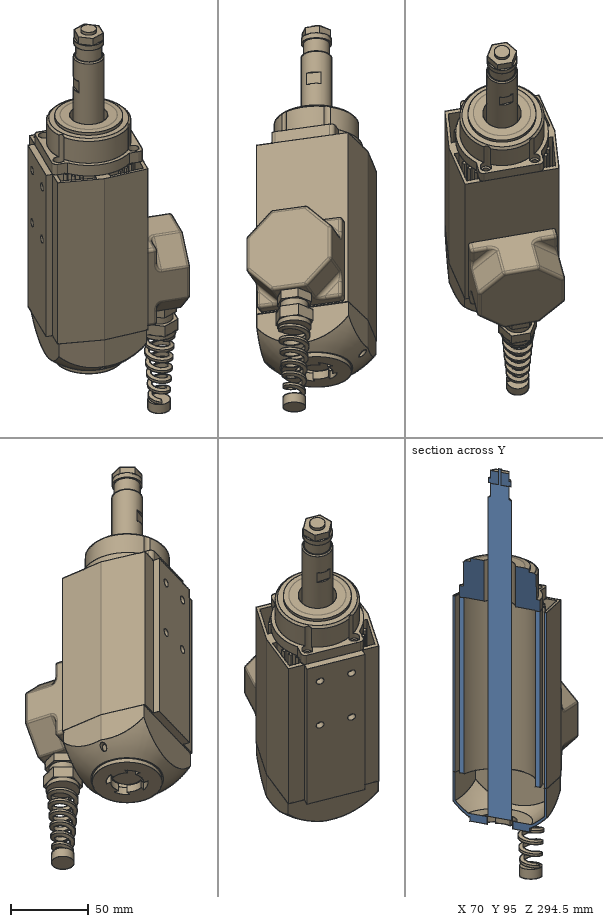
import cadquery as cq
import math


CAP_RIM_BOTTOM = 47.5
CAP_BOTTOM = 50.5
HOUSING_BOTTOM = 79.5
HOUSING_TOP = 201.0
FLANGE_TOP = 209.0
COLLAR_TOP = 227.0
COVER_TOP = 229.5
SHAFT_SHOULDER = 274.5
NUT_BOTTOM = 283.5
NUT_HEX_BOTTOM = 287.0
NUT_TOP = 292.5
SHAFT_TOP = 294.5

SIDE_REACH = 35.0
CORNER_REACH = 31.2
HOUSING_HALF_DEPTH = 30.5
SIDE_WALL = 1.8
FACE_WALL = 2.7
PAD_HALF_WIDTH = 20.0
PAD_FACE = 35.0
RIB_WIDTH = 9.5
TUBE_RADIUS = 30.0
TUBE_BORE_RADIUS = 26.5
FIN_RADIUS = 31.8
FIN_WIDTH = 2.5
FIN_ANGLES = (25.5, 35.5, 45.5)
PAD_HOLE_RADIUS = 2.7
PAD_HOLE_DEPTH = 4.5
PAD_HOLE_TIP = 1.5
PAD_HOLE_X = 11.0
PAD_HOLE_LEVELS = (147.8, 187.3)

CAP_HALF_DEPTH = 29.7
DOME_START_RADIUS = 23.5
DOME_MID = (35.0, 59.5)
DOME_END = (43.3, 70.0)
DOME_WALL = 2.7
CAP_RIM_RADIUS = 22.7
VENT_RADIUS = 13.5
VENT_TAB_RADIUS = 10.5
VENT_TAB_WIDTH = 10.5
CAP_SIDE_HOLE_RADIUS = 2.0
CAP_SIDE_HOLE_LEVEL = 56.2

FLANGE_RADIUS = 30.0
LUG_HALF_WIDTH = 21.5
LUG_CORNER = 3.0
COLLAR_RADIUS = 27.5
COLLAR_CHAMFER = 1.5
LIP_RADIUS = 22.0
LIP_TOP_RADIUS = 18.5
LIP_BEVEL = 0.3
COVER_BORE_RADIUS = 12.5
SCREW_X = 16.2
SCREW_Y = 25.3
SCREW_HEAD_RADIUS = 3.5
SCREW_HEAD_DEPTH = 4.0
SCREW_HOLE_RADIUS = 2.0

SHAFT_RADIUS = 10.0
SHAFT_CHAMFER = 1.0
NECK_RADIUS = 8.5
STUD_RADIUS = 5.0
FLAT_DISTANCE = 8.8
FLAT_BOTTOM = 250.5
FLAT_TOP = 259.0
FLAT_TURN = 6
NUT_RADIUS = 9.7

HEX_FLAT_RATIO = math.cos(math.radians(30))

BOX_HALF = 29.0
BOX_CENTER_Z = 109.3
BOX_BACK = 60.0
BOX_BASE_BACK = 37.7
BOX_CORNER_CUT = 17.0
BOX_INNER_FILLET = 3.0
BOX_EDGE_FILLET = 2.0

GLAND_Y = 47.7
GLAND_HEX_APOTHEM = 10.0
GLAND_HEX_BOTTOM = 74.2
GLAND_NECK_RADIUS = 9.0
CLAMP_TOP = 68.5
CLAMP_HEX_BOTTOM = 60.7
CLAMP_BOTTOM = 57.5
CLAMP_APOTHEM = 11.0
END_RING_RADIUS = 7.5
END_RING_TOP = 6.8
COIL_TURNS = 6
COIL_PITCH = 8.2
COIL_START = 7.5
COIL_LOWER_RADIUS = 5.5
COIL_UPPER_RADIUS = 9.0
STRAND_INNER_HEIGHT = 3.5
STRAND_OUTER_HEIGHT = 1.8
STRAND_WIDTH = 2.7


def disc(radius, bottom, top, x=0, y=0):
    """Upright cylinder between two levels."""
    return cq.Workplane("XY", origin=(x, y, bottom)).circle(radius).extrude(top - bottom)


def hexagon(apothem, bottom, top, y=0):
    """Upright hexagonal prism with flats facing front and back."""
    diameter = 2 * apothem / HEX_FLAT_RATIO
    return cq.Workplane("XY", origin=(0, y, bottom)).polygon(6, diameter).extrude(top - bottom)


def block(x_range, y_range, z_range):
    """Box given by its limits along each axis."""
    size = [high - low for low, high in (x_range, y_range, z_range)]
    corner = (x_range[0], y_range[0], z_range[0])
    return cq.Workplane("XY").box(*size, centered=False).translate(corner)


def ridged_prism(side, corner, half_depth, bottom, top):
    """Prism with flat front and back and a ridge along each side."""
    outline = [
        (side, 0), (corner, half_depth), (-corner, half_depth),
        (-side, 0), (-corner, -half_depth), (corner, -half_depth),
    ]
    return cq.Workplane("XY", origin=(0, 0, bottom)).polyline(outline).close().extrude(top - bottom)


def cavity(half_depth, bottom, top):
    """Inside of a ridged tube whose outside has the given half depth."""
    return ridged_prism(
        SIDE_REACH - SIDE_WALL, CORNER_REACH - SIDE_WALL, half_depth - FACE_WALL, bottom, top
    )


def dome_space(floor, top):
    """Round space above the domed underside, with its floor at the given level."""
    lift = floor - CAP_BOTTOM
    return (
        cq.Workplane("XZ")
        .moveTo(0, floor)
        .lineTo(DOME_START_RADIUS, floor)
        .threePointArc((DOME_MID[0], DOME_MID[1] + lift), (DOME_END[0], DOME_END[1] + lift))
        .lineTo(DOME_END[0], top)
        .lineTo(0, top)
        .close()
        .revolve(360, (0, 0), (0, 1))
    )


def make_housing():
    z_range = (HOUSING_BOTTOM, HOUSING_TOP)
    shell = ridged_prism(SIDE_REACH, CORNER_REACH, HOUSING_HALF_DEPTH, *z_range)
    shell = shell.cut(cavity(HOUSING_HALF_DEPTH, *z_range).cut(inner_tube(z_range)))
    pad = block((-PAD_HALF_WIDTH, PAD_HALF_WIDTH), (-PAD_FACE, -HOUSING_HALF_DEPTH), z_range)
    body = shell.union(pad)
    for x in (-PAD_HOLE_X, PAD_HOLE_X):
        for z in PAD_HOLE_LEVELS:
            body = body.cut(pad_hole(x, z))
    return body


def inner_tube(z_range):
    """Round tube with ribs to the side ridges and short cooling fins."""
    body = disc(TUBE_RADIUS, *z_range)
    body = body.union(block((-SIDE_REACH, SIDE_REACH), (-RIB_WIDTH / 2, RIB_WIDTH / 2), z_range))
    fin = block((0, FIN_RADIUS), (-FIN_WIDTH / 2, FIN_WIDTH / 2), z_range)
    for angle in FIN_ANGLES:
        for turn in (angle, 180 - angle, 180 + angle, -angle):
            body = body.union(fin.rotate((0, 0, 0), (0, 0, 1), turn))
    return body.cut(disc(TUBE_BORE_RADIUS, *z_range))


def pad_hole(x, z):
    """Blind hole from the pad face, with a conical bottom."""
    inward = cq.Vector(0, 1, 0)
    drill = cq.Solid.makeCylinder(PAD_HOLE_RADIUS, PAD_HOLE_DEPTH, cq.Vector(x, -PAD_FACE, z), inward)
    tip_start = cq.Vector(x, PAD_HOLE_DEPTH - PAD_FACE, z)
    tip = cq.Solid.makeCone(PAD_HOLE_RADIUS, 0, PAD_HOLE_TIP, tip_start, inward)
    return cq.Workplane(drill).union(cq.Workplane(tip))


def make_tail_cap():
    floor_top = CAP_BOTTOM + DOME_WALL
    outside = ridged_prism(SIDE_REACH, CORNER_REACH, CAP_HALF_DEPTH, CAP_BOTTOM, HOUSING_BOTTOM)
    outside = outside.intersect(dome_space(CAP_BOTTOM, HOUSING_BOTTOM))
    inside = cavity(CAP_HALF_DEPTH, CAP_BOTTOM, HOUSING_BOTTOM)
    inside = inside.intersect(dome_space(floor_top, HOUSING_BOTTOM))
    rim = disc(CAP_RIM_RADIUS, CAP_RIM_BOTTOM, CAP_BOTTOM)
    side_hole = (
        cq.Workplane("YZ", origin=(0, 0, CAP_SIDE_HOLE_LEVEL))
        .circle(CAP_SIDE_HOLE_RADIUS)
        .extrude(SIDE_REACH, both=True)
    )
    return outside.union(rim).cut(inside).cut(side_hole).cut(tail_vent(floor_top))


def tail_vent(floor_top):
    """Round opening narrowed by four tabs that point at the axis."""
    opening = disc(VENT_RADIUS, CAP_RIM_BOTTOM, floor_top)
    along = (-VENT_RADIUS, VENT_RADIUS)
    across = (-VENT_TAB_WIDTH / 2, VENT_TAB_WIDTH / 2)
    z_range = (CAP_RIM_BOTTOM, floor_top)
    tabs = block(along, across, z_range).union(block(across, along, z_range))
    return opening.cut(tabs).union(disc(VENT_TAB_RADIUS, *z_range))


def make_cover():
    lugs = block(
        (-LUG_HALF_WIDTH, LUG_HALF_WIDTH),
        (-HOUSING_HALF_DEPTH, HOUSING_HALF_DEPTH),
        (HOUSING_TOP, FLANGE_TOP),
    ).edges("|Z").fillet(LUG_CORNER)
    collar = disc(COLLAR_RADIUS, FLANGE_TOP, COLLAR_TOP).faces(">Z").chamfer(COLLAR_CHAMFER)
    lip = (
        disc(LIP_RADIUS, COLLAR_TOP, COVER_TOP)
        .faces(">Z").edges()
        .chamfer(LIP_BEVEL, LIP_RADIUS - LIP_TOP_RADIUS)
    )
    body = disc(FLANGE_RADIUS, HOUSING_TOP, FLANGE_TOP).union(lugs).union(collar).union(lip)
    body = body.cut(disc(COVER_BORE_RADIUS, HOUSING_TOP, COVER_TOP))
    for x in (-SCREW_X, SCREW_X):
        for y in (-SCREW_Y, SCREW_Y):
            body = body.cut(disc(SCREW_HOLE_RADIUS, HOUSING_TOP, FLANGE_TOP, x, y))
            body = body.cut(disc(SCREW_HEAD_RADIUS, FLANGE_TOP - SCREW_HEAD_DEPTH, COLLAR_TOP, x, y))
    return body


def make_shaft():
    body = disc(SHAFT_RADIUS, CAP_BOTTOM + DOME_WALL, SHAFT_SHOULDER).faces(">Z").chamfer(SHAFT_CHAMFER)
    body = body.union(disc(NECK_RADIUS, SHAFT_SHOULDER, NUT_BOTTOM))
    body = body.union(disc(STUD_RADIUS, NUT_BOTTOM, SHAFT_TOP))
    for y_range in ((-SHAFT_RADIUS, -FLAT_DISTANCE), (FLAT_DISTANCE, SHAFT_RADIUS)):
        recess = block((-SHAFT_RADIUS, SHAFT_RADIUS), y_range, (FLAT_BOTTOM, FLAT_TOP))
        body = body.cut(recess.rotate((0, 0, 0), (0, 0, 1), FLAT_TURN))
    return body


def make_collet_nut():
    body = disc(NUT_RADIUS, NUT_BOTTOM, NUT_HEX_BOTTOM)
    body = body.union(hexagon(NUT_RADIUS * HEX_FLAT_RATIO, NUT_HEX_BOTTOM, NUT_TOP))
    return body.cut(disc(STUD_RADIUS, NUT_BOTTOM, NUT_TOP))


def make_terminal_box():
    y_range = (HOUSING_HALF_DEPTH, BOX_BACK)
    z_range = (BOX_CENTER_Z - BOX_HALF, BOX_CENTER_Z + BOX_HALF)
    body = block((-BOX_HALF, BOX_HALF), y_range, z_range)
    for x_sign in (-1, 1):
        for z_sign in (-1, 1):
            body = body.cut(corner_wedge(x_sign, z_sign))
    corner_middle = BOX_HALF - BOX_CORNER_CUT / 2
    for x_sign in (-1, 1):
        for z_sign in (-1, 1):
            point = (x_sign * corner_middle, BOX_BASE_BACK, BOX_CENTER_Z + z_sign * corner_middle)
            body = body.edges(cq.NearestToPointSelector(point)).fillet(BOX_INNER_FILLET)
    outer_edges = body.faces("<X or >X or <Z or >Z or >Y").edges("not <Y")
    return outer_edges.fillet(BOX_EDGE_FILLET)


def corner_wedge(x_sign, z_sign):
    """Triangular piece removed from one corner of the box."""
    x = x_sign * BOX_HALF
    z = z_sign * BOX_HALF
    triangle = [(x, z), (x - x_sign * BOX_CORNER_CUT, z), (x, z - z_sign * BOX_CORNER_CUT)]
    wedge = cq.Workplane("XZ", origin=(0, BOX_BACK, BOX_CENTER_Z)).polyline(triangle).close()
    return wedge.extrude(BOX_BACK - BOX_BASE_BACK)


def make_gland():
    neck = disc(GLAND_NECK_RADIUS, CLAMP_TOP, GLAND_HEX_BOTTOM, y=GLAND_Y)
    return neck.union(hexagon(GLAND_HEX_APOTHEM, GLAND_HEX_BOTTOM, BOX_CENTER_Z - BOX_HALF, GLAND_Y))


def make_cable_protector():
    clamp = disc(CLAMP_APOTHEM, CLAMP_BOTTOM, CLAMP_HEX_BOTTOM, y=GLAND_Y)
    clamp = clamp.union(hexagon(CLAMP_APOTHEM, CLAMP_HEX_BOTTOM, CLAMP_TOP, GLAND_Y))
    end_ring = disc(END_RING_RADIUS, 0, END_RING_TOP, y=GLAND_Y)
    return clamp.union(make_coil()).union(end_ring)


def make_coil():
    """Left-handed strand, thicker on its inner side, in turns that widen upward."""
    height = COIL_TURNS * COIL_PITCH
    spread = math.degrees(math.atan((COIL_UPPER_RADIUS - COIL_LOWER_RADIUS) / height))
    path = cq.Wire.makeHelix(
        COIL_PITCH, height, COIL_LOWER_RADIUS,
        center=cq.Vector(0, GLAND_Y, COIL_START), angle=spread, lefthand=True,
    )
    section = cq.Workplane("XZ", origin=(COIL_LOWER_RADIUS, GLAND_Y, COIL_START))
    half_width = STRAND_WIDTH / 2
    outline = [
        (-half_width, -STRAND_INNER_HEIGHT / 2),
        (half_width, -STRAND_OUTER_HEIGHT / 2),
        (half_width, STRAND_OUTER_HEIGHT / 2),
        (-half_width, STRAND_INNER_HEIGHT / 2),
    ]
    return section.polyline(outline).close().sweep(cq.Workplane(path), isFrenet=True)


housing = make_housing()
tail_cap = make_tail_cap()
cover = make_cover()
shaft = make_shaft()
collet_nut = make_collet_nut()
terminal_box = make_terminal_box()
gland = make_gland()
cable_protector = make_cable_protector()

result = cq.Compound.makeCompound([
    housing.val(),
    tail_cap.val(),
    cover.val(),
    shaft.val(),
    collet_nut.val(),
    terminal_box.val(),
    gland.val(),
    cable_protector.val(),
])